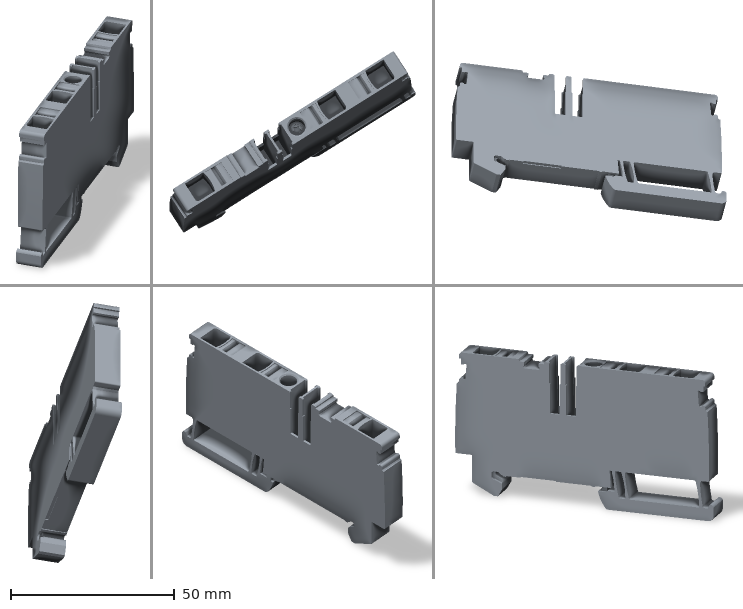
import cadquery as cq
import math


width = 8.1
length = 84.1
height = 45.2
cut_over = 0.8
overlap = 0.2

housing_near = 1.5
housing_mid = (housing_near + length) / 2
housing_bottom = 12.6
rail_seat = 7.1
seat_near = 33.5
seat_slant = 0.4
end_rounding = 0.3
hook_start = 68.5
hook_far = 78.6
widest_level = 17.7
curve_end = 35.1
lean = 0.5

wall = 0.7
entry_width = 6.8
entry_length = 6.6
entry_bulge = 0.5
entry_depth = 10.1
entry_corner = 0.9
entry_pitch = 17.5
first_entry = 6.9
near_entries = [first_entry, first_entry + entry_pitch]
far_entry = 78.8
lever_margin = 0.8
lever_width = 6.4
lever_gap = 0.75
lever_length = 5.6
lever_sink = 0.3
lever_bulge = 0.25
groove_width = 2.35
groove_depth = 1.35
groove_slope = 0.75
near_groove_lip = 1.2
far_groove_lip = 0.75
near_groove_offset = 8.5
far_groove_offset = 10.9

jumper_first = 46.4
jumper_pitch = 5.3
jumper_count = 2
jumper_floor = 28.8
jumper_step = 38.4
jumper_half = 1.56
jumper_widening = 0.25
jumper_lip = 0.25
jumper_rim = 0.75
pocket_floor = 21.9
pocket_floor_half = 1.3
pocket_top_half = 2.31

screw_y = 40.45
screw_bore_radius = 2.6
screw_bore_chamfer = 0.4
screw_depth = 5.05
socket_radius = 1.7
socket_step = 0.3
star_lobes = 5
star_outer = 1.4
star_inner = 0.9
star_depth = 1.0

relief_depth = 1.0
tab_near = 35.1
tab_far = 36.7
clip_top = 5.55
foot_floor = 4.0
window_fillet = 0.4
seat_recess_near = 51.3
seat_recess_far = 63.1
seat_recess = 0.25
seat_ribs = [38.7, 67.5]
seat_rib_length = 1.0
seat_rib_height = 0.25


def prism(sketch, start=0.0, thickness=width):
    """Extrude a closed Y-Z outline along +X."""
    return sketch.close().extrude(thickness).translate((start, 0, 0))


def outline(points):
    return cq.Workplane("YZ").polyline(points)


def mirror_ends(solid):
    """Copy of a solid, reflected about the middle of the housing."""
    return solid.mirror("XZ", (0, housing_mid, 0))


def make_housing():
    foot_lean = lean * ((widest_level - housing_bottom) / (curve_end - widest_level)) ** 2
    near, far = housing_near, length
    profile = (
        cq.Workplane("YZ")
        .moveTo(far - foot_lean, housing_bottom)
        .threePointArc((far, widest_level), (far - lean, curve_end))
        .lineTo(far - lean, height)
        .lineTo(near + lean, height)
        .lineTo(near + lean, curve_end)
        .threePointArc((near, widest_level), (near + foot_lean, housing_bottom))
    )
    upper = prism(profile).edges("|X and <Z").fillet(end_rounding)
    lower = prism(outline([
        (seat_near, rail_seat), (seat_near + seat_slant, housing_bottom),
        (seat_near + seat_slant, housing_bottom + overlap),
        (hook_start, housing_bottom + overlap), (hook_start, rail_seat),
    ]))
    return upper.union(lower)


def make_end_notch():
    """Marker notch and rounded head corner at the +Y end."""
    outside = length + cut_over
    return prism(
        cq.Workplane("YZ")
        .moveTo(outside, curve_end)
        .lineTo(83.35, curve_end)
        .lineTo(82.9, 35.4)
        .lineTo(82.8, 36.4)
        .threePointArc((82.25, 36.9), (81.6, 36.4))
        .lineTo(80.8, 36.4)
        .lineTo(80.4, 41.4)
        .threePointArc((80.7, 41.6), (81.1, 41.55))
        .lineTo(81.5, 41.3)
        .lineTo(82.25, 41.4)
        .lineTo(82.25, 43.15)
        .lineTo(82.8, 43.15)
        .lineTo(82.8, 44.15)
        .threePointArc((82.6, 44.8), (81.9, height))
        .lineTo(81.9, height + cut_over)
        .lineTo(outside, height + cut_over)
    )


def make_marker_groove():
    """Undercut groove across the top, with a lowered shelf on both sides."""
    shelf = 44.4
    floor = 42.4
    return prism(outline([
        (63.5, height + cut_over), (63.5, height), (63.25, shelf), (61.65, shelf), (61.65, 43.4), (61.9, 43.1),
        (61.9, 42.7), (61.6, floor), (56.9, floor), (56.6, 42.7), (56.6, 43.1), (56.9, 43.4),
        (56.9, shelf), (55.25, shelf), (55.25, height - 0.25), (54.8, height), (54.8, height + cut_over),
    ]))


def make_jumper_slot(middle):
    """Slot through the full width, with a tapered pocket between its side rims."""
    upper_half = jumper_half + jumper_widening
    mouth_half = upper_half + jumper_lip
    right = [
        (jumper_half, jumper_floor), (jumper_half, jumper_step), (upper_half, jumper_step),
        (upper_half, height - jumper_lip), (mouth_half, height),
    ]
    left = [(-y, z) for y, z in reversed(right)]
    slot = prism(outline(right + left)).translate((0, middle, 0))
    pocket_outline = outline([
        (-pocket_floor_half, pocket_floor), (pocket_floor_half, pocket_floor),
        (pocket_top_half, height), (-pocket_top_half, height),
    ])
    pocket = prism(pocket_outline, jumper_rim, width - 2 * jumper_rim).translate((0, middle, 0))
    return slot.union(pocket)


def make_bulged_pocket(x, y, size_x, straight, bulge, depth):
    """Rectangular pocket whose +Y end is an arc bulging outwards."""
    return (
        cq.Workplane("XY", origin=(x, y, height - depth))
        .lineTo(size_x, 0)
        .lineTo(size_x, straight)
        .threePointArc((size_x / 2, straight + bulge), (0, straight))
        .close()
        .extrude(depth)
    )


def make_entry(start):
    """Wire entry with a shallow operating slot on its +Y side."""
    entry = make_bulged_pocket(wall, start, entry_width, entry_length, entry_bulge, entry_depth)
    entry = entry.edges("|Z and <X and <Y").fillet(entry_corner)

    slot_start = start + entry_length + lever_gap
    slot = cq.Workplane("XY").box(lever_width, lever_length, lever_sink, centered=False)
    slot = slot.translate((lever_margin, slot_start, height - lever_sink))
    curved_end = make_bulged_pocket(
        lever_margin, slot_start - cut_over, lever_width, cut_over, lever_bulge, lever_sink)
    return entry.union(slot.cut(curved_end))


def make_lever_groove(start, lip):
    """Groove in the slot floor: a sloped -Y flank and a steep +Y flank with a rounded lip."""
    edge = height - lever_sink
    valley = edge - groove_depth
    far_wall = start + groove_width - lip
    inset = lip * (1 - math.sqrt(0.5))
    profile = (
        cq.Workplane("YZ")
        .moveTo(start, edge)
        .lineTo(start + groove_slope, valley)
        .lineTo(far_wall, valley)
        .lineTo(far_wall, edge - lip)
        .threePointArc((far_wall + inset, edge - inset), (start + groove_width, edge))
    )
    return prism(profile, lever_margin, lever_width)


def make_screw_hole():
    """Chamfered bore that ends in a screw head with a star recess."""
    top = cq.Workplane("XY", origin=(width / 2, screw_y, height))
    bore = top.circle(screw_bore_radius).extrude(-screw_depth)
    mouth = (
        top.circle(screw_bore_radius + screw_bore_chamfer)
        .workplane(offset=-screw_bore_chamfer)
        .circle(screw_bore_radius)
        .loft()
    )
    head = top.workplane(offset=-screw_depth)
    socket = head.circle(socket_radius).extrude(-socket_step)
    star = []
    for i in range(2 * star_lobes):
        radius = star_inner if i % 2 else star_outer
        angle = math.pi / 2 + i * math.pi / star_lobes
        star.append((radius * math.cos(angle), radius * math.sin(angle)))
    star_recess = head.polyline(star).close().extrude(-star_depth)
    return bore.union(mouth).union(socket).union(star_recess)


def make_hook():
    """Fixed hook that grips the far edge of the rail."""
    joint = housing_bottom + overlap
    return prism(
        cq.Workplane("YZ")
        .moveTo(hook_far, joint)
        .lineTo(hook_far, 4.1)
        .lineTo(78.4, 3.7)
        .lineTo(71.5, 0.25)
        .lineTo(70.2, 0.25)
        .lineTo(68.8, 2.8)
        .lineTo(68.8, 4.5)
        .threePointArc((69.05, 5.2), (69.6, 5.7))
        .lineTo(70.9, 6.4)
        .threePointArc((71.4, 7.3), (70.8, 8.1))
        .lineTo(70.05, 8.1)
        .lineTo(69.1, 7.2)
        .lineTo(hook_start, rail_seat)
        .lineTo(hook_start, joint)
    )


def make_foot():
    """Sprung foot that hangs from the housing on three thin legs."""
    joint = housing_bottom + overlap
    bar = prism(
        cq.Workplane("YZ")
        .moveTo(33.1, joint)
        .lineTo(33.1, 12.1)
        .threePointArc((32.6, 9.75), (32.3, 6.05))
        .lineTo(34.65, 6.05)
        .lineTo(35.1, clip_top)
        .lineTo(37.7, clip_top)
        .threePointArc((36.8, 3.0), (35.5, 0.75))
        .threePointArc((35.1, 0.25), (34.4, 0))
        .lineTo(1.85, 0)
        .threePointArc((0.5, 0.6), (0, 1.85))
        .lineTo(0, 4.6)
        .threePointArc((0.4, 5.1), (1.2, 5.4))
        .lineTo(1.4, 5.2)
        .lineTo(1.9, foot_floor)
        .lineTo(3.0, foot_floor)
        .threePointArc((3.45, 4.2), (3.6, 4.6))
        .threePointArc((4.2, 8.4), (4.45, 11.95))
        .lineTo(3.95, housing_bottom)
        .lineTo(3.95, joint)
    )
    narrow_window = prism(
        cq.Workplane("YZ")
        .moveTo(32.2, housing_bottom)
        .threePointArc((31.7, 8.1), (30.8, foot_floor))
        .lineTo(28.8, foot_floor)
        .threePointArc((29.0, 8.1), (30.1, housing_bottom))
    ).edges("|X").fillet(window_fillet)
    wide_window = prism(
        cq.Workplane("YZ")
        .moveTo(28.9, housing_bottom)
        .threePointArc((28.4, 8.1), (27.5, foot_floor))
        .lineTo(4.7, foot_floor)
        .threePointArc((5.05, 8.1), (6.0, housing_bottom))
    ).edges("|X").edges("not <Y").fillet(window_fillet)
    return bar.cut(narrow_window).cut(wide_window)


def make_hook_relief():
    """Deeper hook mouth, only in the -X face."""
    return prism(outline([
        (68.8, 4.4), (71.4, 5.55), (71.8, 5.55), (72.2, 6.0), (72.2, 7.7), (71.8, 8.15), (70.05, 8.1), (69.1, 7.1),
    ]), thickness=relief_depth)


def make_foot_tab():
    """Web between the seat and the foot, set back from the -X face."""
    tab_height = rail_seat - clip_top + 2 * overlap
    tab = cq.Workplane("XY").box(width - relief_depth, tab_far - tab_near, tab_height, centered=False)
    return tab.translate((relief_depth, tab_near, clip_top - overlap))


def make_seat_recess():
    """Shallow recess in the rail seat along the -X face."""
    recess_length = seat_recess_far - seat_recess_near
    recess = cq.Workplane("XY").box(relief_depth, recess_length, seat_recess, centered=False)
    return recess.translate((0, seat_recess_near, rail_seat))


def make_seat_rib(start):
    rib = cq.Workplane("XY").box(width, seat_rib_length, 2 * seat_rib_height, centered=False)
    return rib.translate((0, start, rail_seat - seat_rib_height))


result = make_housing().union(make_hook()).union(make_foot()).union(make_foot_tab())
for start in seat_ribs:
    result = result.union(make_seat_rib(start))

end_notch = make_end_notch()
result = result.cut(end_notch).cut(mirror_ends(end_notch))
result = result.cut(make_marker_groove())
for index in range(jumper_count):
    result = result.cut(make_jumper_slot(jumper_first + index * jumper_pitch))
for start in near_entries:
    result = result.cut(make_entry(start))
    result = result.cut(make_lever_groove(start + near_groove_offset, near_groove_lip))
result = result.cut(mirror_ends(make_entry(2 * housing_mid - far_entry)))
result = result.cut(make_lever_groove(far_entry - far_groove_offset, far_groove_lip))
result = result.cut(make_screw_hole())
result = result.cut(make_hook_relief()).cut(make_seat_recess())